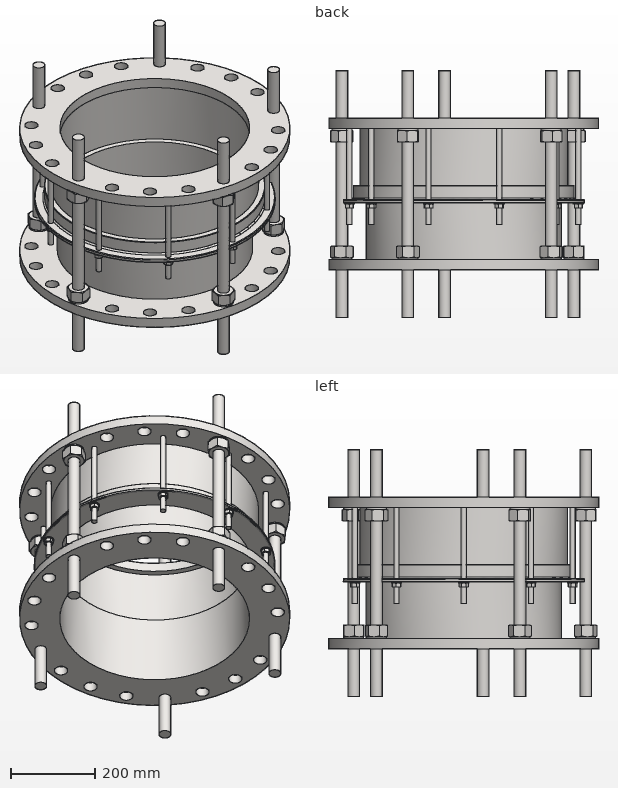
import cadquery as cq
import math

flange_dia = 640.0
flange_thickness = 25.0
flange_outer_z = 180.0
flange_inner_z = flange_outer_z - flange_thickness
bore_dia = 449.0
bolt_circle_dia = 585.0
hole_count = 20
hole_dia = 31.5
hole_pitch = 360 / hole_count
first_hole_angle = hole_pitch / 2

lower_pipe_dia = 463.5
upper_pipe_dia = 493.0
upper_pipe_bore_dia = 476.0
step_z = 4.5

collar_dia = 523.0
collar_top_z = 20.5
collar_chamfer = 1.0
gland_dia = 571.0
gland_thickness = 9.0
gland_top_z = -13.0
gland_bottom_z = gland_top_z - gland_thickness
gland_edge_radius = 2.0
neck_fillet = 4.0

stay_count = 5
stay_spacing = 4
first_stay_hole = 3
stay_dia = 28.0
stay_length = 585.0
stay_nut_flats = 47.5
stay_nut_height = 28.0
stay_nut_seat = 4.0
upper_nut_twist = 22.0
lower_nut_twist = 0.0

nut_sides = 6
half_side_angle = 180 / nut_sides
nut_chamfer_angle = 30.0

stud_count = 10
stud_circle_dia = 542.0
stud_dia = 13.0
stud_bottom_z = -72.0
stud_nut_flats = 19.0
stud_nut_height = 9.5
stud_washer_dia = 24.0
stud_washer_thickness = 2.0


def cylinder(diameter, bottom, top):
    """Upright cylinder on the Z axis."""
    return cq.Workplane("XY").workplane(offset=bottom).circle(diameter / 2).extrude(top - bottom)


def ring(outer_dia, inner_dia, bottom, top):
    """Upright tube centred on the Z axis."""
    return cylinder(outer_dia, bottom, top).cut(cylinder(inner_dia, bottom, top))


def place(body, circle_dia, angle):
    """Move a body from the Z axis out to an angle on a pitch circle."""
    return body.translate((circle_dia / 2, 0, 0)).rotate((0, 0, 0), (0, 0, 1), angle)


def hex_nut(flats, bottom, top, twist):
    """Solid hexagon with conically chamfered corners; at no twist a corner points along +X."""
    corners = flats / math.cos(math.radians(half_side_angle))
    chamfer_height = (corners - flats) / 2 * math.tan(math.radians(nut_chamfer_angle))
    hexagon = cq.Workplane("XY").workplane(offset=bottom).polygon(nut_sides, corners).extrude(top - bottom)
    envelope = (
        cq.Workplane("XZ")
        .moveTo(0, bottom)
        .lineTo(flats / 2, bottom)
        .lineTo(corners / 2, bottom + chamfer_height)
        .lineTo(corners / 2, top - chamfer_height)
        .lineTo(flats / 2, top)
        .lineTo(0, top)
        .close()
        .revolve(360, (0, 0, 0), (0, 1, 0))
    )
    return hexagon.intersect(envelope).rotate((0, 0, 0), (0, 0, 1), twist)


def make_flange(bottom, stay_holes):
    """Drilled flange; the holes filled by stay bolts stay undrilled."""
    flange = ring(flange_dia, bore_dia, bottom, bottom + flange_thickness)
    drill = cylinder(hole_dia, bottom, bottom + flange_thickness)
    for index in range(hole_count):
        if index not in stay_holes:
            flange = flange.cut(place(drill, bolt_circle_dia, first_hole_angle + index * hole_pitch))
    return flange


def make_gland():
    """Collar and gland ring turned in one piece, joined by a small concave fillet."""
    bore_radius = upper_pipe_bore_dia / 2
    collar_radius = collar_dia / 2
    gland_radius = gland_dia / 2
    profile = (
        cq.Workplane("XZ")
        .moveTo(bore_radius, gland_bottom_z)
        .lineTo(gland_radius - gland_edge_radius, gland_bottom_z)
        .tangentArcPoint((gland_edge_radius, gland_edge_radius))
        .lineTo(gland_radius, gland_top_z - gland_edge_radius)
        .tangentArcPoint((-gland_edge_radius, gland_edge_radius))
        .lineTo(collar_radius + neck_fillet, gland_top_z)
        .tangentArcPoint((-neck_fillet, neck_fillet))
        .lineTo(collar_radius, collar_top_z - collar_chamfer)
        .lineTo(collar_radius - collar_chamfer, collar_top_z)
        .lineTo(bore_radius, collar_top_z)
        .close()
    )
    return profile.revolve(360, (0, 0, 0), (0, 1, 0))


def make_stay():
    """Threaded stay with one nut on the inner face of each flange."""
    seat_z = flange_inner_z - stay_nut_seat
    tip_z = seat_z - stay_nut_height
    stay = cylinder(stay_dia, -stay_length / 2, stay_length / 2)
    stay = stay.union(cylinder(stay_nut_flats, seat_z, flange_inner_z))
    stay = stay.union(hex_nut(stay_nut_flats, tip_z, seat_z, upper_nut_twist))
    stay = stay.union(cylinder(stay_nut_flats, -flange_inner_z, -seat_z))
    return stay.union(hex_nut(stay_nut_flats, -seat_z, -tip_z, lower_nut_twist))


def make_stud():
    """Gland stud with a washer and nut under the gland ring; a nut flat faces outwards."""
    washer_bottom_z = gland_bottom_z - stud_washer_thickness
    nut_bottom_z = washer_bottom_z - stud_nut_height
    stud = cylinder(stud_dia, stud_bottom_z, flange_inner_z)
    stud = stud.union(cylinder(stud_washer_dia, washer_bottom_z, gland_bottom_z))
    return stud.union(hex_nut(stud_nut_flats, nut_bottom_z, washer_bottom_z, half_side_angle))


stay_holes = [first_stay_hole + stay_spacing * index for index in range(stay_count)]

result = make_flange(flange_inner_z, stay_holes)
result = result.union(make_flange(-flange_outer_z, stay_holes))
result = result.union(ring(upper_pipe_dia, upper_pipe_bore_dia, gland_bottom_z, flange_inner_z))
result = result.union(ring(lower_pipe_dia, bore_dia, -flange_inner_z, step_z))

result = result.union(make_gland())
result = result.union(ring(upper_pipe_bore_dia, bore_dia, gland_bottom_z, step_z))

stay = make_stay()
for hole in stay_holes:
    result = result.union(place(stay, bolt_circle_dia, first_hole_angle + hole * hole_pitch))

stud = make_stud()
for index in range(stud_count):
    result = result.union(place(stud, stud_circle_dia, index * 360 / stud_count))